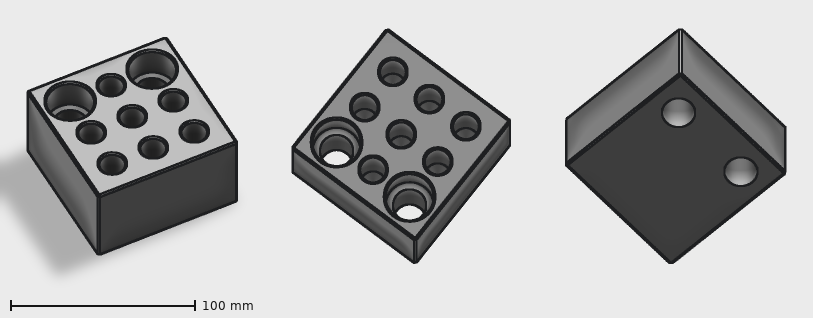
import cadquery as cq
import math

side = 85.0
height = 50.0
edge_chamfer = 1.0

pitch = 25.0

bore_diameter = 26.0
bore_depth = 18.0
through_diameter = 18.0

drill_diameter = 14.0
drill_depth = 30.0
drill_tip_angle = 118.0

mouth_chamfer = 1.0


def mouth_cone(diameter):
    """Countersink that widens a hole of this diameter at the top face, at the origin."""
    radius = diameter / 2
    return (
        cq.Workplane("XZ")
        .polyline([(0, 0), (radius + mouth_chamfer, 0), (radius, -mouth_chamfer), (0, -mouth_chamfer)])
        .close()
        .revolve(360, (0, 0), (0, 1))
    )


def stepped_hole():
    """Cutter for a wide bore above a narrower through hole, with its mouth at the origin."""
    bore = cq.Workplane("XY").circle(bore_diameter / 2).extrude(-bore_depth)
    through = cq.Workplane("XY").circle(through_diameter / 2).extrude(-height)
    return bore.union(through).union(mouth_cone(bore_diameter))


def drilled_hole():
    """Cutter for a blind hole with a pointed end, with its mouth at the origin."""
    radius = drill_diameter / 2
    tip_length = radius / math.tan(math.radians(drill_tip_angle / 2))
    drill = (
        cq.Workplane("XZ")
        .polyline([(0, 0), (radius, 0), (radius, -drill_depth), (0, -drill_depth - tip_length)])
        .close()
        .revolve(360, (0, 0), (0, 1))
    )
    return drill.union(mouth_cone(drill_diameter))


result = cq.Workplane("XY").box(side, side, height, centered=(True, True, False))
result = result.edges().chamfer(edge_chamfer)

for column in (-1, 0, 1):
    for row in (-1, 0, 1):
        is_stepped = column == -1 and row != 0
        cutter = stepped_hole() if is_stepped else drilled_hole()
        result = result.cut(cutter.translate((column * pitch, row * pitch, height)))